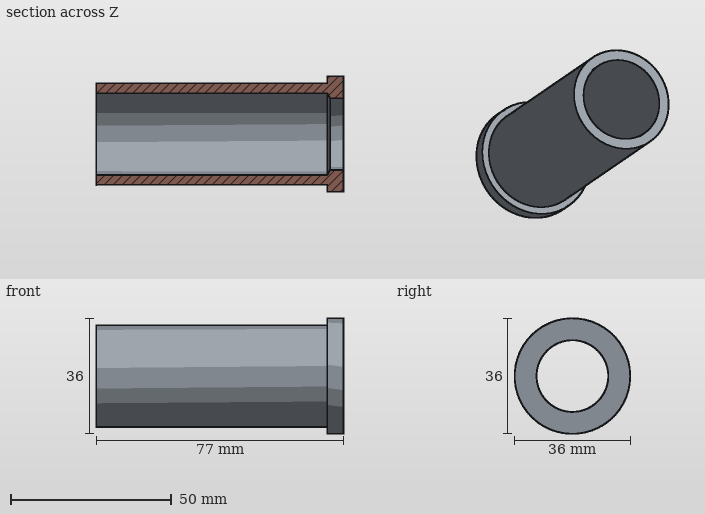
import cadquery as cq
import math

total_length = 77.0
flange_thickness = 5.15
flange_diameter = 36.0
tube_diameter = 31.7
bore_diameter = 25.4
outlet_diameter = 22.25
seat_half_angle = 60.0

flange_start = total_length - flange_thickness
seat_depth = (bore_diameter - outlet_diameter) / 2
seat_length = seat_depth / math.tan(math.radians(seat_half_angle))
seat_end = flange_start + seat_length


def make_body():
    """Round tube with a flange at its +X end, still solid inside."""
    tube = cq.Workplane("YZ").circle(tube_diameter / 2).extrude(total_length)
    flange = (
        cq.Workplane("YZ")
        .workplane(offset=flange_start)
        .circle(flange_diameter / 2)
        .extrude(flange_thickness)
    )
    return tube.union(flange)


def make_bore():
    """Straight bore, then a conical seat and a narrower outlet in the flange."""
    return (
        cq.Workplane("XY")
        .moveTo(0, 0)
        .lineTo(0, bore_diameter / 2)
        .lineTo(flange_start, bore_diameter / 2)
        .lineTo(seat_end, outlet_diameter / 2)
        .lineTo(total_length, outlet_diameter / 2)
        .lineTo(total_length, 0)
        .close()
        .revolve(360, (0, 0, 0), (1, 0, 0))
    )


result = make_body().cut(make_bore())